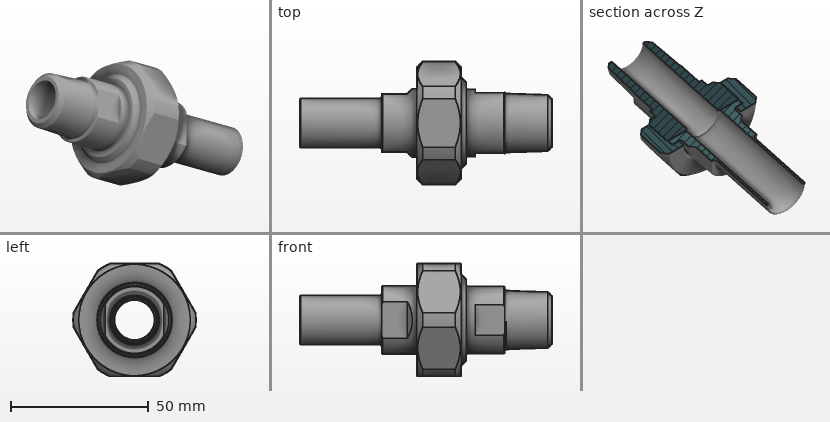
import cadquery as cq
import math


TOTAL_LENGTH = 91.5
SHOULDER_START = 29.7
NUT_START = 42.5
NUT_END = 58.5
NUT_LIP_THICKNESS = 2.7
TAIL_FLANGE_THICKNESS = 2.7
COLLAR_END = 60.4
ADAPTER_BODY_END = 74.4
FLANGE_START = NUT_START + NUT_LIP_THICKNESS
JOINT = FLANGE_START + TAIL_FLANGE_THICKNESS

TUBE_DIAMETER = 18.0
TUBE_BORE = 16.0
TUBE_TIP_CHAMFER = 0.4
SHOULDER_DIAMETER = 25.0
SHOULDER_FILLET = 0.8
TAIL_FLAT_WIDTH = 21.1
TAIL_FLAT_END = 38.9

HEX_ACROSS_FLATS = 41.0
HEX_CORNER_DIAMETER = 44.65
HEX_CHAMFER = 2.1
NUT_HOLE = 26.5
NUT_HOLE_CHAMFER = 0.4
NUT_BORE = 33.1

COLLAR_DIAMETER = NUT_BORE
COLLAR_END_DIAMETER = 29.5
ADAPTER_DIAMETER = 24.5
ADAPTER_BORE = 14.5
ADAPTER_FLAT_WIDTH = 22.0
ADAPTER_FLAT_START = 63.7
THREAD_START_DIAMETER = 21.5
THREAD_TAPER = 1 / 16
THREAD_TIP_CHAMFER = 1.65

EDGE_CHAMFER = 0.4
ROOT_FILLET = 0.5


def revolve_about_x(profile):
    """Revolve a closed profile drawn as (X, radius) about the X axis."""
    return profile.close().revolve(360, (0, 0, 0), (1, 0, 0))


def fillet_arc_middle(corner_x, corner_radius, size, axial_side):
    """Middle of the arc of a concave fillet; axial_side points from the wall along X."""
    offset = size * (1 - math.sqrt(0.5))
    return (corner_x + axial_side * offset, corner_radius + offset)


def side_cutter(outline, half_width):
    """Pair of cutters with an (X, Y) outline, mirrored about the XZ plane."""
    height = 2 * SHOULDER_DIAMETER
    cutter = cq.Workplane("XY").polyline(outline).close().extrude(height / 2, both=True)
    cutter = cutter.translate((0, half_width, 0))
    return cutter.union(cutter.mirror("XZ"))


def make_tailpiece():
    tube_radius = TUBE_DIAMETER / 2
    shoulder_radius = SHOULDER_DIAMETER / 2
    flange_fillet = (NUT_HOLE - SHOULDER_DIAMETER) / 2
    body = revolve_about_x(
        cq.Workplane("XY")
        .moveTo(TUBE_TIP_CHAMFER, TUBE_BORE / 2)
        .lineTo(0, TUBE_BORE / 2 + TUBE_TIP_CHAMFER)
        .lineTo(0, tube_radius - TUBE_TIP_CHAMFER)
        .lineTo(TUBE_TIP_CHAMFER, tube_radius)
        .lineTo(SHOULDER_START - SHOULDER_FILLET, tube_radius)
        .threePointArc(
            fillet_arc_middle(SHOULDER_START, tube_radius, SHOULDER_FILLET, -1),
            (SHOULDER_START, tube_radius + SHOULDER_FILLET),
        )
        .lineTo(SHOULDER_START, shoulder_radius - EDGE_CHAMFER)
        .lineTo(SHOULDER_START + EDGE_CHAMFER, shoulder_radius)
        .lineTo(FLANGE_START - flange_fillet, shoulder_radius)
        .threePointArc(
            fillet_arc_middle(FLANGE_START, shoulder_radius, flange_fillet, -1),
            (FLANGE_START, NUT_HOLE / 2),
        )
        .lineTo(FLANGE_START, NUT_BORE / 2)
        .lineTo(JOINT, NUT_BORE / 2)
        .lineTo(JOINT, TUBE_BORE / 2)
    )
    half_width = TAIL_FLAT_WIDTH / 2
    depth = shoulder_radius - half_width
    flats = side_cutter(
        [
            (SHOULDER_START, 0),
            (TAIL_FLAT_END, 0),
            (TAIL_FLAT_END + depth, depth),
            (SHOULDER_START, depth),
        ],
        half_width,
    )
    return body.cut(flats)


def make_nut():
    length = NUT_END - NUT_START
    hexagon = (
        cq.Workplane("YZ", origin=(NUT_START, 0, 0))
        .polygon(6, HEX_ACROSS_FLATS, circumscribed=True)
        .extrude(length)
        .rotate((0, 0, 0), (1, 0, 0), 90)
    )
    envelope = (
        cq.Workplane("YZ", origin=(NUT_START, 0, 0))
        .circle(HEX_CORNER_DIAMETER / 2)
        .extrude(length)
        .faces("<X or >X")
        .chamfer(HEX_CHAMFER)
    )
    hole_radius = NUT_HOLE / 2
    hole = revolve_about_x(
        cq.Workplane("XY")
        .moveTo(NUT_START, 0)
        .lineTo(NUT_START, hole_radius + NUT_HOLE_CHAMFER)
        .lineTo(NUT_START + NUT_HOLE_CHAMFER, hole_radius)
        .lineTo(FLANGE_START, hole_radius)
        .lineTo(FLANGE_START, NUT_BORE / 2)
        .lineTo(NUT_END, NUT_BORE / 2)
        .lineTo(NUT_END, 0)
    )
    return hexagon.intersect(envelope).cut(hole)


def make_adapter():
    collar_radius = COLLAR_DIAMETER / 2
    collar_end_radius = COLLAR_END_DIAMETER / 2
    body_radius = ADAPTER_DIAMETER / 2
    thread_radius = THREAD_START_DIAMETER / 2
    thread_end = TOTAL_LENGTH - THREAD_TIP_CHAMFER
    thread_end_radius = thread_radius - (thread_end - ADAPTER_BODY_END) * THREAD_TAPER / 2
    body = revolve_about_x(
        cq.Workplane("XY")
        .moveTo(JOINT, ADAPTER_BORE / 2)
        .lineTo(JOINT, collar_radius)
        .lineTo(COLLAR_END - (collar_radius - collar_end_radius), collar_radius)
        .lineTo(COLLAR_END, collar_end_radius)
        .lineTo(COLLAR_END, body_radius + ROOT_FILLET)
        .threePointArc(
            fillet_arc_middle(COLLAR_END, body_radius, ROOT_FILLET, 1),
            (COLLAR_END + ROOT_FILLET, body_radius),
        )
        .lineTo(ADAPTER_BODY_END - EDGE_CHAMFER, body_radius)
        .lineTo(ADAPTER_BODY_END, body_radius - EDGE_CHAMFER)
        .lineTo(ADAPTER_BODY_END, thread_radius + ROOT_FILLET)
        .threePointArc(
            fillet_arc_middle(ADAPTER_BODY_END, thread_radius, ROOT_FILLET, 1),
            (ADAPTER_BODY_END + ROOT_FILLET, thread_radius),
        )
        .lineTo(thread_end, thread_end_radius)
        .lineTo(TOTAL_LENGTH, thread_end_radius - THREAD_TIP_CHAMFER)
        .lineTo(TOTAL_LENGTH, ADAPTER_BORE / 2)
    )
    half_width = ADAPTER_FLAT_WIDTH / 2
    depth = body_radius - half_width
    flats = side_cutter(
        [
            (ADAPTER_FLAT_START, 0),
            (ADAPTER_BODY_END, 0),
            (ADAPTER_BODY_END, depth),
            (ADAPTER_FLAT_START, depth),
        ],
        half_width,
    )
    return body.cut(flats)


tailpiece = make_tailpiece()
nut = make_nut()
adapter = make_adapter()

result = cq.Compound.makeCompound([tailpiece.solids().val(), nut.solids().val(), adapter.solids().val()])